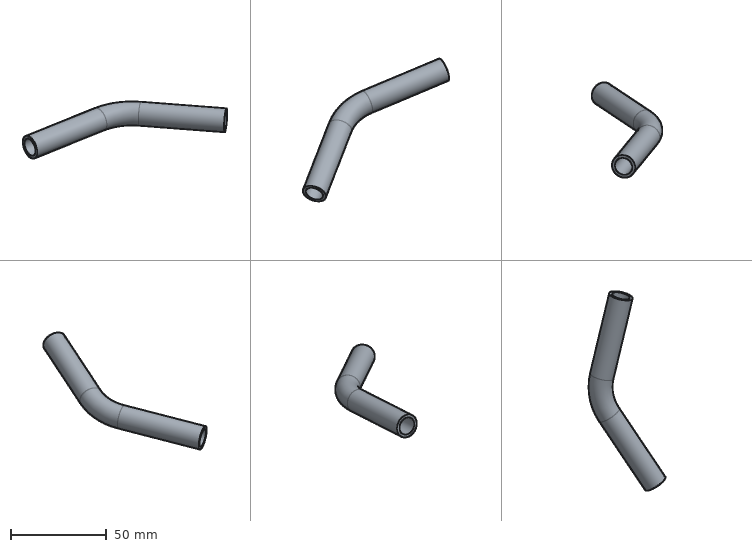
import cadquery as cq
import math

outer_diameter = 12.7
inner_diameter = 9.4

bend_angle = 45.0
bend_radius = 28.575
end_to_corner = 57.15

angle = math.radians(bend_angle)
leg_length = end_to_corner - bend_radius * math.tan(angle / 2)


def point_on_bend(turn):
    """Centreline point after turning by the given angle from +Y toward +X."""
    x = bend_radius * (1 - math.cos(turn))
    y = leg_length + bend_radius * math.sin(turn)
    return (x, y)


def centreline():
    """Straight leg along +Y, tangent arc, then a straight leg tilted toward +X."""
    bend_end_x, bend_end_y = point_on_bend(angle)
    leg_end = (
        bend_end_x + leg_length * math.sin(angle),
        bend_end_y + leg_length * math.cos(angle),
    )
    return (
        cq.Workplane("XY")
        .lineTo(0, leg_length)
        .threePointArc(point_on_bend(angle / 2), point_on_bend(angle))
        .lineTo(*leg_end)
    )


def bent_tube():
    """Ring section swept along the centreline, open at both ends."""
    return (
        cq.Workplane("XZ")
        .circle(outer_diameter / 2)
        .circle(inner_diameter / 2)
        .sweep(centreline())
    )


result = bent_tube()